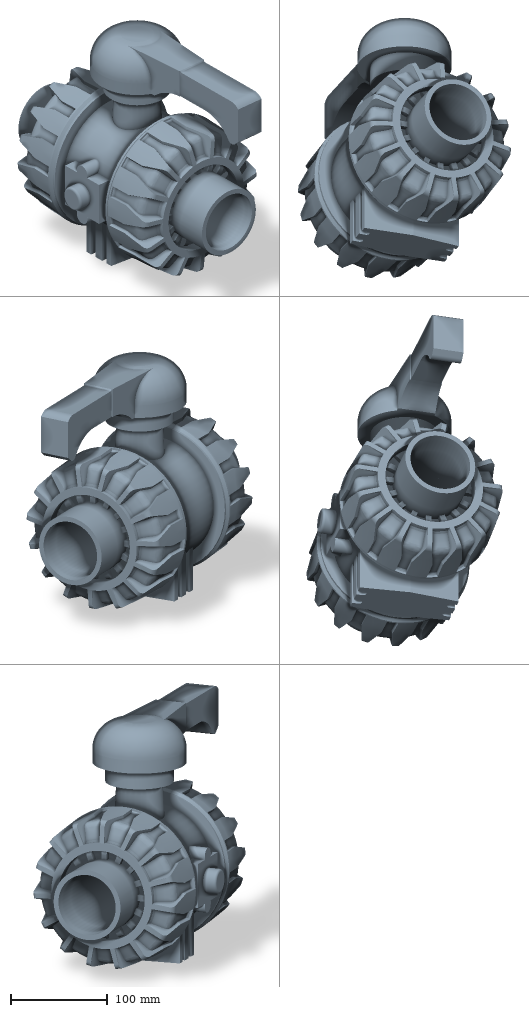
import cadquery as cq
import math


pipe_outer_r = 37.5
bore_r = 32.0
pipe_half_length = 142.3

body_r = 66.0
body_half_length = 69.7
neck_base_r = 26.3
neck_base_z = 50.7
neck_top_r = 24.0
neck_top_z = 98.5

pad_half_width = 26.3
pad_half_height = 23.5
pad_face_y = -76.5
ear_r = 8.2
ear_z = 26.3
knob_r = 13.0
knob_face_y = -90.5
knob_round = 2.5

foot_bottom_z = -87.0
foot_half_depth = 53.0
foot_mid_half_width = 23.5
foot_end_half_width = 19.0
foot_slot_r = 3.5
foot_slot_depth = 9.8
foot_slot_x = 8.5

nut_front_x = -102.7
nut_back_x = -39.3
nut_bore_r = 48.2
lip_r = 56.5
lip_back_x = -97.3
lip_foot = 2.0
core_corner_x = -88.0
core_corner_r = 76.0
core_back_r = 77.3
core_round = 7.5
flange_front_x = -47.0
flange_flat_x = -45.0
flange_step_x = -41.8
flange_r = 81.8
flange_back_r = 79.2
flange_foot = 2.2

rib_count = 15
rib_nose_x = -100.0
rib_nose_r = 79.2
rib_round = 6.3
rib_nose_width = 5.0
rib_width = 22.2
rib_shoulder_x = -69.7

collar_r = 57.0
collar_front_x = -90.0
tooth_count = 16
tooth_width = 6.0
tooth_front_x = -96.5
tooth_tip_r = 47.5
tooth_round = 5.0

socket_r = 35.5
head_r = 48.8
head_bottom_z = 119.0
head_edge_z = 132.8
handle_top_z = 164.2
crown_r = 17.5
lever_end_x = 174.5
lever_step_x = 85.0
lever_root_x = 9.5
lever_root_half_width = 22.8
lever_step_half_width = 17.0
grip_half_width = 16.2
lever_top_z = 163.2
grip_top_z = 161.5
corner_start_x = 164.5
corner_mid_x = 170.5
corner_mid_z = 160.0
corner_end_z = 156.5
step_run = 1.5
root_arc_start_x = 49.0
root_arc_r = 53.0
grip_arc_start_x = 123.0
grip_arc_r = 44.5
tip_start_x = 160.0
tip_round_z = 112.5
tip_low_x = 164.8
tip_low_z = 110.5
tip_heel_x = 169.5
tip_heel_z = 117.0


def turned_about_x(points):
    """Revolve a closed (x, radius) outline about the X axis."""
    return cq.Workplane("XY").polyline(points).close().revolve(360, (0, 0, 0), (1, 0, 0))


def rod_along_x(radius, x_start, x_end):
    return cq.Workplane("YZ", origin=(x_start, 0, 0)).circle(radius).extrude(x_end - x_start)


def rounded_ring_edge(solid, x_position, radius):
    """Round the circular edge that lies at one position along the X axis."""
    return solid.edges(cq.selectors.NearestToPointSelector((x_position, 0, 0))).fillet(radius)


def add_around_x(base, feature, count):
    """Join equally spaced copies of a feature about the X axis to a base."""
    copies = [feature.rotate((0, 0, 0), (1, 0, 0), index * 360 / count).val() for index in range(count)]
    return cq.Workplane(base.val().fuse(*copies))


def facing_plus_x(solid):
    """Turn a part of the -X end half a turn about Y to serve the +X end."""
    return solid.rotate((0, 0, 0), (0, 1, 0), 180)


def make_neck():
    return (
        cq.Workplane("XZ")
        .polyline([(0, neck_base_z), (neck_base_r, neck_base_z), (neck_top_r, neck_top_z), (0, neck_top_z)])
        .close()
        .revolve(360, (0, 0, 0), (0, 1, 0))
    )


def make_pad():
    front = cq.Workplane("XZ")
    pad = front.rect(2 * pad_half_width, 2 * pad_half_height).extrude(-pad_face_y)
    ears = front.pushPoints([(0, ear_z), (0, -ear_z)]).circle(ear_r).extrude(-pad_face_y)
    knob = front.circle(knob_r).extrude(-knob_face_y).faces("<Y").edges().fillet(knob_round)
    return pad.union(ears).union(knob)


def make_foot():
    plan = cq.Workplane("XY", origin=(0, 0, foot_bottom_z))
    foot = (
        plan.polyline(
            [
                (-foot_end_half_width, -foot_half_depth),
                (foot_end_half_width, -foot_half_depth),
                (foot_mid_half_width, 0),
                (foot_end_half_width, foot_half_depth),
                (-foot_end_half_width, foot_half_depth),
                (-foot_mid_half_width, 0),
            ]
        )
        .close()
        .extrude(-foot_bottom_z)
    )
    slot_length = 2 * foot_slot_depth
    slot_places = [(x, y) for x in (-foot_slot_x, foot_slot_x) for y in (-foot_half_depth, foot_half_depth)]
    slots = plan.pushPoints(slot_places).slot2D(slot_length, 2 * foot_slot_r, 90).extrude(-foot_bottom_z)
    return foot.cut(slots)


def make_body():
    shell = rod_along_x(body_r, -body_half_length, body_half_length)
    bore = rod_along_x(bore_r, -body_half_length, body_half_length)
    return shell.union(make_neck()).union(make_pad()).union(make_foot()).cut(bore)


def make_nut_core():
    core = turned_about_x(
        [
            (nut_front_x, 0),
            (nut_front_x, lip_r),
            (lip_back_x, lip_r),
            (lip_back_x + lip_foot, lip_r + lip_foot),
            (core_corner_x, core_corner_r),
            (flange_front_x - flange_foot, core_back_r),
            (flange_front_x, core_back_r + flange_foot),
            (flange_front_x, flange_r),
            (flange_flat_x, flange_r),
            (flange_step_x, flange_back_r),
            (nut_back_x, flange_back_r),
            (nut_back_x, 0),
        ]
    )
    return rounded_ring_edge(core, core_corner_x, core_round)


def make_grip_rib():
    rib_plan = [
        (nut_front_x, -rib_nose_width / 2),
        (rib_nose_x, -rib_nose_width / 2),
        (rib_shoulder_x, -rib_width / 2),
        (flange_front_x, -rib_width / 2),
        (flange_front_x, rib_width / 2),
        (rib_shoulder_x, rib_width / 2),
        (rib_nose_x, rib_nose_width / 2),
        (nut_front_x, rib_nose_width / 2),
    ]
    rib = cq.Workplane("XY").polyline(rib_plan).close().extrude(flange_r)
    envelope = turned_about_x(
        [
            (nut_front_x, 0),
            (nut_front_x, lip_r),
            (rib_nose_x, rib_nose_r),
            (flange_front_x, flange_r),
            (flange_front_x, 0),
        ]
    )
    envelope = rounded_ring_edge(envelope, rib_nose_x, rib_round)
    return rib.intersect(envelope)


def make_nut():
    opening = rod_along_x(nut_bore_r, nut_front_x, nut_back_x)
    collar_seat = rod_along_x(collar_r, collar_front_x, nut_back_x)
    body_seat = rod_along_x(body_r, -body_half_length, nut_back_x)
    ribbed = add_around_x(make_nut_core(), make_grip_rib(), rib_count)
    return ribbed.cut(opening).cut(collar_seat).cut(body_seat)


def make_pipe_end():
    pipe = rod_along_x(pipe_outer_r, -pipe_half_length, -body_half_length)
    collar = rod_along_x(collar_r, collar_front_x, -body_half_length)
    tooth_root_r = (bore_r + pipe_outer_r) / 2
    tooth = (
        cq.Workplane("XZ")
        .moveTo(collar_front_x, tooth_root_r)
        .lineTo(tooth_front_x, tooth_root_r)
        .lineTo(tooth_front_x, tooth_tip_r - tooth_round)
        .radiusArc((tooth_front_x + tooth_round, tooth_tip_r), tooth_round)
        .lineTo(collar_front_x, tooth_tip_r)
        .close()
        .extrude(tooth_width / 2, both=True)
    )
    bore = rod_along_x(bore_r, -pipe_half_length, -body_half_length)
    return add_around_x(pipe.union(collar), tooth, tooth_count).cut(bore)


def make_head():
    dome_rise = handle_top_z - head_edge_z
    dome_run = head_r - crown_r
    diagonal = math.sqrt(0.5)
    return (
        cq.Workplane("XZ")
        .moveTo(0, neck_top_z)
        .lineTo(socket_r, neck_top_z)
        .lineTo(socket_r, head_bottom_z)
        .lineTo(head_r, head_bottom_z)
        .lineTo(head_r, head_edge_z)
        .threePointArc(
            (crown_r + dome_run * diagonal, head_edge_z + dome_rise * diagonal),
            (crown_r, handle_top_z),
        )
        .lineTo(0, handle_top_z)
        .close()
        .revolve(360, (0, 0, 0), (0, 1, 0))
    )


def make_lever():
    side = (
        cq.Workplane("XZ")
        .moveTo(0, head_bottom_z)
        .lineTo(0, lever_top_z)
        .lineTo(lever_step_x, lever_top_z)
        .lineTo(lever_step_x + step_run, grip_top_z)
        .lineTo(corner_start_x, grip_top_z)
        .threePointArc((corner_mid_x, corner_mid_z), (lever_end_x, corner_end_z))
        .lineTo(lever_end_x, tip_heel_z)
        .lineTo(tip_heel_x, tip_round_z)
        .threePointArc((tip_low_x, tip_low_z), (tip_start_x, tip_round_z))
        .radiusArc((grip_arc_start_x, head_edge_z), -grip_arc_r)
        .lineTo(lever_step_x, head_edge_z)
        .radiusArc((root_arc_start_x, head_bottom_z), -root_arc_r)
        .close()
        .extrude(lever_root_half_width, both=True)
    )
    plan = (
        cq.Workplane("XY")
        .moveTo(0, -lever_root_half_width)
        .lineTo(lever_root_x, -lever_root_half_width)
        .lineTo(lever_step_x, -lever_step_half_width)
        .lineTo(lever_step_x, -grip_half_width)
        .lineTo(lever_end_x, -grip_half_width)
        .lineTo(lever_end_x, grip_half_width)
        .lineTo(lever_step_x, grip_half_width)
        .lineTo(lever_step_x, lever_step_half_width)
        .lineTo(lever_root_x, lever_root_half_width)
        .lineTo(0, lever_root_half_width)
        .close()
        .extrude(handle_top_z)
    )
    return side.intersect(plan)


def make_handle():
    return make_head().union(make_lever())


body = make_body()
handle = make_handle()
nut = make_nut()
pipe_end = make_pipe_end()
nuts = [nut, facing_plus_x(nut)]
pipe_ends = [pipe_end, facing_plus_x(pipe_end)]

result = cq.Compound.makeCompound(
    [
        body.solids().val(),
        handle.solids().val(),
        *[copy.solids().val() for copy in nuts],
        *[copy.solids().val() for copy in pipe_ends],
    ]
)